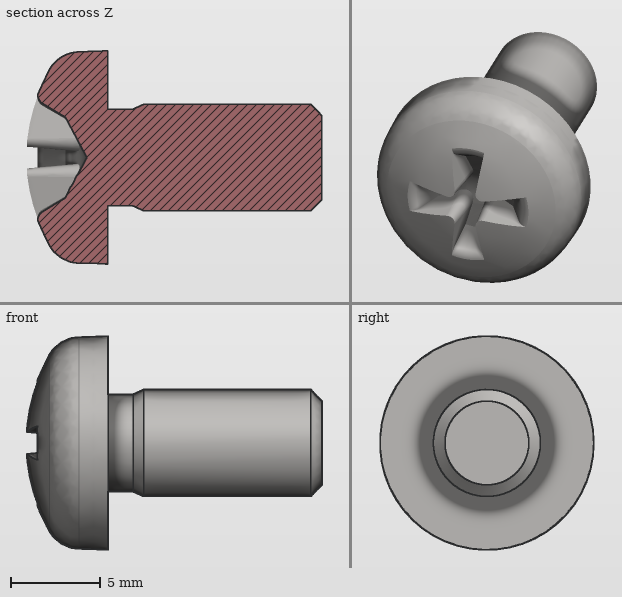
import cadquery as cq
import math

head_diameter = 12.0
head_height = 4.6
dome_radius = 10.0
rim_fillet = 2.0
rim_draft = 2.0

shank_length = 12.0
shank_diameter = 6.0
neck_diameter = 5.46
neck_length = 1.4
neck_taper_length = 0.6
tip_diameter = 4.7
tip_chamfer_length = 0.63

recess_depth = 3.4
recess_floor_angle = 28.0
recess_floor_radius = 2.25
wing_mouth_radius = 3.53
wing_end_round = 0.59
wing_reach = 4.5
wing_root_half_width = 0.13
wing_flare_angle = 9.4
wing_side_draft = 5.2
recess_corner_round = 0.69
mouth_clearance = 1.0

apex_x = -head_height


def tan_deg(angle):
    return math.tan(math.radians(angle))


def revolve_about_x(profile):
    return profile.close().revolve(360, (0, 0, 0), (1, 0, 0))


def make_head():
    """Drafted cone under a spherical dome, with the edge between them rounded."""
    seat_radius = head_diameter / 2
    apex_rim_radius = seat_radius - head_height * tan_deg(rim_draft)
    profile = (
        cq.Workplane("XY")
        .moveTo(apex_x, 0)
        .lineTo(apex_x, apex_rim_radius)
        .lineTo(0, seat_radius)
        .lineTo(0, 0)
    )
    dome = cq.Workplane("XY").sphere(dome_radius).translate((apex_x + dome_radius, 0, 0))
    head = revolve_about_x(profile).intersect(dome)
    return head.edges("%CIRCLE").edges(cq.selectors.RadiusNthSelector(0)).fillet(rim_fillet)


def make_shank():
    """Plain neck, taper up to the full diameter and a chamfered tip."""
    profile = (
        cq.Workplane("XY")
        .moveTo(0, 0)
        .lineTo(0, neck_diameter / 2)
        .lineTo(neck_length, neck_diameter / 2)
        .lineTo(neck_length + neck_taper_length, shank_diameter / 2)
        .lineTo(shank_length - tip_chamfer_length, shank_diameter / 2)
        .lineTo(shank_length, tip_diameter / 2)
        .lineTo(shank_length, 0)
    )
    return revolve_about_x(profile)


def make_recess_envelope():
    """Round body limiting the cross: coned floor, steep ends, rounded mouth."""
    floor_x = apex_x + recess_depth
    floor_edge_x = floor_x - recess_floor_radius * tan_deg(recess_floor_angle)
    mouth_x = apex_x + dome_radius - math.sqrt(dome_radius**2 - wing_mouth_radius**2)
    round_x = mouth_x + wing_end_round

    along = floor_edge_x - round_x
    outward = wing_mouth_radius - recess_floor_radius
    end_angle = math.atan2(outward, along) - math.asin(wing_end_round / math.hypot(along, outward))

    def round_point(angle):
        return (
            round_x - wing_end_round * math.sin(angle),
            wing_mouth_radius - wing_end_round * math.cos(angle),
        )

    profile = (
        cq.Workplane("XY")
        .moveTo(floor_x, 0)
        .lineTo(floor_edge_x, recess_floor_radius)
        .lineTo(*round_point(end_angle))
        .threePointArc(round_point((end_angle + math.pi / 2) / 2), (mouth_x, wing_mouth_radius))
        .lineTo(apex_x - mouth_clearance, wing_mouth_radius)
        .lineTo(apex_x - mouth_clearance, 0)
    )
    return revolve_about_x(profile)


def make_recess_cross():
    """Four flared wings with drafted sides, widening from the floor to the mouth."""
    flare = tan_deg(wing_flare_angle)
    end_half_width = wing_root_half_width + flare * wing_reach
    inner_corner = wing_root_half_width / (1 - flare)
    quarter = [
        (wing_reach, -end_half_width),
        (wing_reach, end_half_width),
        (inner_corner, inner_corner),
    ]
    outline = []
    for turn in range(4):
        outline += quarter
        quarter = [(-across, along) for along, across in quarter]

    reach = 2 * inner_corner
    inner_vertices = cq.selectors.BoxSelector((-reach, -reach, -reach), (reach, reach, reach))
    sketch = (
        cq.Sketch()
        .polygon(outline + outline[:1])
        .vertices(inner_vertices)
        .fillet(recess_corner_round)
    )
    floor_plane = cq.Plane(origin=(apex_x + recess_depth, 0, 0), xDir=(0, 1, 0), normal=(-1, 0, 0))
    height = recess_depth + mouth_clearance
    return cq.Workplane(floor_plane).placeSketch(sketch).extrude(height, taper=-wing_side_draft)


recess = make_recess_envelope().intersect(make_recess_cross())
result = make_head().union(make_shank()).cut(recess)